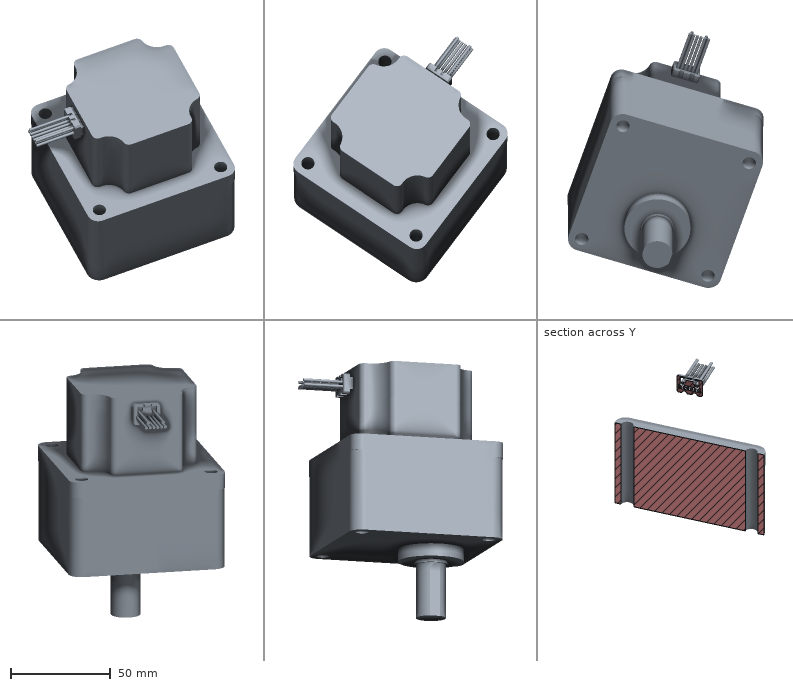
import cadquery as cq
import math


gearbox_side = 80.0
plate_thickness = 8.0
plate_corner_radius = 5.5
case_height = 41.0
case_corner_radius = 6.5
mount_circle_diameter = 94.0
mount_hole_diameter = 6.6
mount_hole_spacing = mount_circle_diameter / math.sqrt(2)
case_bottom = -(plate_thickness + case_height)

shaft_offset = 13.0
boss_diameter = 33.0
boss_height = 6.3
collar_diameter = 16.7
collar_height = 1.5
shaft_diameter = 15.0
shaft_length = 27.2
flat_depth = 0.5
flat_runout_radius = 15.0
flat_start = 4.2
boss_bottom = case_bottom - boss_height
collar_bottom = boss_bottom - collar_height
shaft_end = collar_bottom - shaft_length

motor_side = 60.0
flange_height = 6.8
stator_height = 14.8
cover_height = 18.4
motor_height = flange_height + stator_height + cover_height
notch_radius = 9.0
notch_near_offset = 26.1
notch_far_offset = 29.0
notch_edge_radius = 3.0

motor_front = -motor_side / 2
shroud_width = 13.9
shroud_height = 10.1
shroud_top = motor_height - 3.0
shroud_bottom = shroud_top - shroud_height
shroud_corner_chamfer = 0.8
shroud_front_chamfer = 0.4
neck_length = 1.5
connector_length = 4.9
neck_top = motor_height - 4.8
neck_height = 6.1
rib_width = 1.2
rib_height = 0.4
rib_offset = 2.35
shroud_back = motor_front - neck_length
shroud_front = motor_front - connector_length

mouth_depth = 2.2
mouth_floor = shroud_front + mouth_depth
lower_mouth_width = 11.6
lower_mouth_height = 2.1
lower_mouth_bottom = motor_height - 10.5
upper_mouth_width = 10.0
upper_mouth_top = motor_height - 3.9
lower_mouth_top = lower_mouth_bottom + lower_mouth_height

bar_height = 1.05
lower_bar_width = 6.0
lower_bar_reach = 1.0
upper_bar_width = 5.3
upper_bar_reach = 1.5
latch_width = 4.1
latch_height = 1.5
latch_reach = 1.9
latch_slot_width = 1.3
latch_slot_offset = 1.8
latch_slot_length = 2.4

keyway_width = 2.4
keyway_height = 1.4
keyway_spacing = 5.6

wire_diameter = 1.5
wire_end = -55.0
wire_pitch = 1.95
lower_wire_count = 6
lower_wire_z = motor_height - 9.5
upper_wire_z = motor_height - 7.0
upper_wire_spacing = 7.6


def block(width, y_front, y_back, z_bottom, z_top):
    """Box centred on X between the given Y and Z limits."""
    depth = y_back - y_front
    box = cq.Workplane("XY").box(width, depth, z_top - z_bottom, centered=(True, False, False))
    return box.translate((0, y_front, z_bottom))


def rounded_square_layer(side, corner_radius, z_bottom, height):
    layer = cq.Workplane("XY").workplane(offset=z_bottom).rect(side, side).extrude(height)
    return layer.edges("|Z").fillet(corner_radius)


def shaft_cylinder(diameter, z_top, height):
    base = cq.Workplane("XY").workplane(offset=z_top).center(0, shaft_offset)
    return base.circle(diameter / 2).extrude(-height)


def shaft_flat_cutter():
    """Flat on the +X side of the shaft, ending in a concave run-out near the collar."""
    outer_x = shaft_diameter
    flat_x = shaft_diameter / 2 - flat_depth
    arc_center_x = flat_x + flat_runout_radius
    flat_top = collar_bottom - flat_start
    rise = math.sqrt(flat_runout_radius**2 - (arc_center_x - shaft_diameter / 2) ** 2)
    half_angle = math.asin(rise / flat_runout_radius) / 2
    arc_middle = (
        arc_center_x - flat_runout_radius * math.cos(half_angle),
        flat_top + flat_runout_radius * math.sin(half_angle),
    )
    profile = (
        cq.Workplane("XZ", origin=(0, shaft_offset, 0))
        .moveTo(outer_x, shaft_end)
        .lineTo(flat_x, shaft_end)
        .lineTo(flat_x, flat_top)
        .threePointArc(arc_middle, (shaft_diameter / 2, flat_top + rise))
        .lineTo(outer_x, flat_top + rise)
        .close()
    )
    return profile.extrude(shaft_diameter / 2, both=True)


def make_gearbox():
    """Plate, case and shaft in one solid; the joint under the plate stays as a seam line."""
    plate = rounded_square_layer(gearbox_side, plate_corner_radius, -plate_thickness, plate_thickness)
    case = rounded_square_layer(gearbox_side, case_corner_radius, case_bottom, case_height)
    holes = (
        cq.Workplane("XY")
        .rect(mount_hole_spacing, mount_hole_spacing, forConstruction=True)
        .vertices()
        .circle(mount_hole_diameter / 2)
        .extrude(case_bottom)
    )
    boss = shaft_cylinder(boss_diameter, case_bottom, boss_height)
    collar = shaft_cylinder(collar_diameter, boss_bottom, collar_height)
    shaft = shaft_cylinder(shaft_diameter, collar_bottom, shaft_length).cut(shaft_flat_cutter())
    gearbox = plate.union(case, clean=False).cut(holes, clean=False)
    for part in (boss, collar, shaft):
        gearbox = gearbox.union(part, clean=False)
    return gearbox


def motor_layer(z_bottom, height):
    """Square layer with a round notch at each corner, repeated every quarter turn."""
    layer = cq.Workplane("XY").rect(motor_side, motor_side).extrude(height)
    notch = cq.Workplane("XY").center(notch_near_offset, notch_far_offset).circle(notch_radius).extrude(height)
    for quarter in range(4):
        layer = layer.cut(notch.rotate((0, 0, 0), (0, 0, 1), 90 * quarter))
    layer = layer.edges("|Z").fillet(notch_edge_radius)
    return layer.translate((0, 0, z_bottom))


def make_motor():
    """Three layers in one solid; the joints between layers stay as seam lines."""
    flange = motor_layer(0, flange_height)
    stator = motor_layer(flange_height, stator_height)
    cover = motor_layer(flange_height + stator_height, cover_height)
    return flange.union(stator, clean=False).union(cover, clean=False)


def make_shroud():
    shroud = block(shroud_width, shroud_front, shroud_back, shroud_bottom, shroud_top)
    shroud = shroud.edges("|Y").chamfer(shroud_corner_chamfer)
    shroud = shroud.faces("<Y").edges("|Z").chamfer(shroud_front_chamfer)
    neck = block(shroud_width, shroud_back, motor_front, neck_top - neck_height, neck_top)
    rib = block(rib_width, shroud_back, motor_front, neck_top, neck_top + rib_height)
    for side in (-1, 1):
        neck = neck.union(rib.translate((side * rib_offset, 0, 0)))
    return shroud.union(neck)


def make_mouth():
    lower = block(lower_mouth_width, shroud_front, mouth_floor, lower_mouth_bottom, lower_mouth_top)
    upper = block(upper_mouth_width, shroud_front, mouth_floor, lower_mouth_top, upper_mouth_top)
    return lower.union(upper)


def make_latch():
    """Stepped bars and the latch tab standing on the mouth floor."""
    lower_bar_top = lower_mouth_top + bar_height
    upper_bar_top = lower_bar_top + bar_height
    latch_top = upper_bar_top + latch_height
    lower_bar = block(lower_bar_width, mouth_floor - lower_bar_reach, mouth_floor, lower_mouth_top, lower_bar_top)
    upper_bar = block(upper_bar_width, mouth_floor - upper_bar_reach, mouth_floor, lower_bar_top, upper_bar_top)
    tab = block(latch_width, mouth_floor - latch_reach, mouth_floor, upper_bar_top, latch_top)
    return lower_bar.union(upper_bar).union(tab)


def latch_slot(side):
    slot = block(latch_slot_width, shroud_front, shroud_front + latch_slot_length, upper_mouth_top, shroud_top)
    return slot.translate((side * latch_slot_offset, 0, 0))


def keyway(side):
    """Arched groove along Y, open at the bottom."""
    half_width = keyway_width / 2
    spring_line = shroud_bottom + keyway_height - half_width
    profile = (
        cq.Workplane("XZ", origin=(side * keyway_spacing / 2, shroud_back, 0))
        .moveTo(-half_width, shroud_bottom)
        .lineTo(-half_width, spring_line)
        .threePointArc((0, spring_line + half_width), (half_width, spring_line))
        .lineTo(half_width, shroud_bottom)
        .close()
    )
    return profile.extrude(connector_length)


def wire(x, z):
    base = cq.Workplane("XZ", origin=(x, mouth_floor, z))
    return base.circle(wire_diameter / 2).extrude(mouth_floor - wire_end)


def make_connector():
    connector = make_shroud().cut(make_mouth()).union(make_latch())
    for side in (-1, 1):
        connector = connector.cut(latch_slot(side)).cut(keyway(side))
        connector = connector.union(wire(side * upper_wire_spacing / 2, upper_wire_z))
    for index in range(lower_wire_count):
        x = (index - (lower_wire_count - 1) / 2) * wire_pitch
        connector = connector.union(wire(x, lower_wire_z))
    return connector


gearbox = make_gearbox()
motor = make_motor()
connector = make_connector()

result = cq.Compound.makeCompound([gearbox.solids().val(), motor.solids().val(), connector.solids().val()])